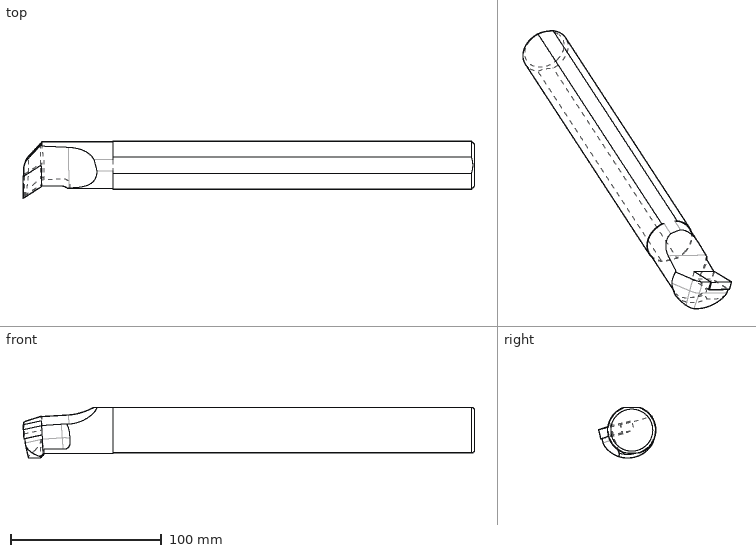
import cadquery as cq
import math

length = 300.0
shank_radius = 32.0 / 2
flat_width = 10.8
flat_height = math.sqrt(shank_radius**2 - (flat_width / 2) ** 2)
head_length = 60.0
end_chamfer = 2.0

neck_radius = 15.5
bulge_radius = 19.0
bulge_center_y = -2.7
bulge_center_z = 0.3
bulge_length = 14.0
bulge_chamfer = 2.5

overall_width = 38.0
tip_x = 0.25
tip_y = shank_radius - overall_width
tip_z = 0.3
side_rake = 12.8
back_rake = 4.0

insert_edge = 14.7
insert_angle = 57.0
insert_thickness = 6.3

runout_start = 30.5
runout_radius = 30.0
runout_sweep = 80.0

front_inset = 0.5
relief_wall_start = 12.3
relief_wall_y = 8.5
relief_wall_end = 25.5
relief_end = 31.2
nose_start_y = 21.0
nose_end_x = 3.5
nose_end_y = 27.0
nose_bulge = 0.3
back_slope_run = 24.0
back_slope_angle = 47.0
band_depth = 9.3
lower_relief_angle = 7.0

clear = 90.0
head_clear = 36.0


def to_tip(shape):
    """Place a shape from the cutting frame into the part frame."""
    tilted = shape.rotate((0, 0, 0), (1, 0, 0), side_rake)
    tilted = tilted.rotate((0, 0, 0), (0, 1, 0), -back_rake)
    return tilted.translate((tip_x, tip_y, tip_z))


def make_insert():
    """Rhombic prism whose top lies in the chip face."""
    run = insert_edge * math.sin(math.radians(insert_angle))
    rise = insert_edge * math.cos(math.radians(insert_angle))
    outline = [(0, 0), (run, rise), (run, rise + insert_edge), (0, insert_edge)]
    return to_tip(cq.Workplane("XY").polyline(outline).close().extrude(-insert_thickness))


def make_shank():
    bar = cq.Workplane("YZ").workplane(offset=head_length).circle(shank_radius)
    bar = bar.extrude(length - head_length).faces(">X").chamfer(end_chamfer)
    flats = cq.Workplane("XY").box(2 * length, clear, 2 * flat_height)
    return bar.intersect(flats)


def make_neck():
    """Neck cylinder, with the shank's flat carried along its top."""
    neck = cq.Workplane("YZ").circle(neck_radius).extrude(head_length)
    below_flat = cq.Workplane("XY").workplane(offset=flat_height).rect(2 * length, clear).extrude(-clear)
    return neck.intersect(below_flat)


def make_bulge():
    bulge = cq.Workplane("YZ").center(bulge_center_y, bulge_center_z).circle(bulge_radius)
    return bulge.extrude(bulge_length).faces(">X").chamfer(bulge_chamfer)


def head_outline(plane):
    """Front face, rounded rear corner, sloping back, and relief beside the insert."""
    slope = 1 / math.tan(math.radians(insert_angle))
    front_y = relief_wall_y - (relief_wall_start - front_inset) * slope
    nose_mid = (front_inset + nose_bulge * (nose_end_x - front_inset), (nose_start_y + nose_end_y) / 2)
    back_x = nose_end_x + back_slope_run
    back_y = nose_end_y + back_slope_run * math.tan(math.radians(back_slope_angle))
    relief_radius = relief_end - relief_wall_end
    bend = relief_radius * math.sqrt(0.5)
    return (
        plane.moveTo(front_inset, front_y)
        .lineTo(relief_wall_start, relief_wall_y)
        .lineTo(relief_wall_end, relief_wall_y)
        .threePointArc(
            (relief_wall_end + bend, relief_wall_y - relief_radius + bend),
            (relief_end, relief_wall_y - relief_radius),
        )
        .lineTo(relief_end, -clear)
        .lineTo(clear, -clear)
        .lineTo(clear, back_y)
        .lineTo(back_x, back_y)
        .lineTo(nose_end_x, nose_end_y)
        .threePointArc(nose_mid, (front_inset, nose_start_y))
        .close()
    )


def make_head_envelope():
    """Upright side walls down to the band depth, then walls that lean inward."""
    base = cq.Workplane("XY").workplane(offset=-band_depth)
    upper = head_outline(base).extrude(band_depth + head_clear)
    lower = head_outline(base).extrude(-head_clear, taper=lower_relief_angle)
    return to_tip(upper.union(lower))


def make_chip_cutter():
    """Material above the chip face and its runout arc."""
    end_angle = math.radians(runout_sweep)
    mid_angle = end_angle / 2
    profile = (
        cq.Workplane("XZ")
        .moveTo(-clear, 0)
        .lineTo(runout_start, 0)
        .threePointArc(
            (
                runout_start + runout_radius * math.sin(mid_angle),
                runout_radius * (1 - math.cos(mid_angle)),
            ),
            (
                runout_start + runout_radius * math.sin(end_angle),
                runout_radius * (1 - math.cos(end_angle)),
            ),
        )
        .lineTo(-clear, clear)
        .close()
        .extrude(clear, both=True)
    )
    return to_tip(profile)


insert = make_insert()
head = make_neck().union(make_bulge()).intersect(make_head_envelope()).cut(make_chip_cutter())
holder = make_shank().union(head).cut(insert)

result = cq.Compound.makeCompound([holder.solids().val(), insert.val()])